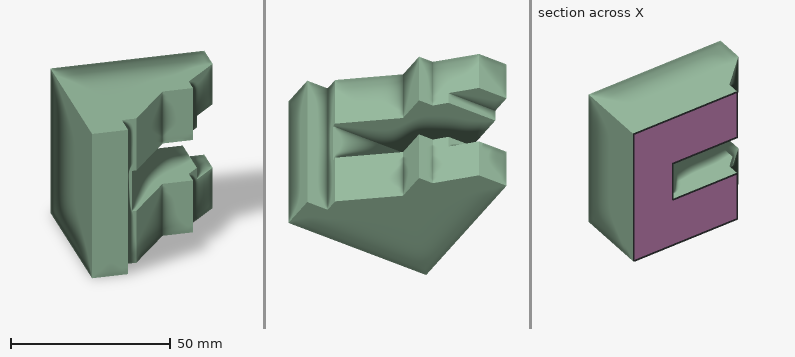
import cadquery as cq

width = 50.0
depth = 50.0
height = 50.0

back_edge_length = 10.0
upper_step_y = 39.4
upper_slope_end_x = back_edge_length + depth - upper_step_y
middle_wall_x = 25.6
middle_wall_end_y = 29.5
lower_wall_x = 42.6
lower_slope_end_y = 16.4
right_edge_length = 11.7

slot_height = 14.0
slot_floor_y = 15.0
slot_mouth_height = 22.0
slot_mouth_depth = 7.0


def make_body():
    """Block with the stepped plan outline, extruded through the full height."""
    outline = [
        (0, 0),
        (width, 0),
        (width, right_edge_length),
        (lower_wall_x, right_edge_length),
        (lower_wall_x, lower_slope_end_y),
        (middle_wall_x, middle_wall_end_y),
        (middle_wall_x, upper_step_y),
        (upper_slope_end_x, upper_step_y),
        (back_edge_length, depth),
        (0, depth),
    ]
    return cq.Workplane("XY").polyline(outline).close().extrude(height)


def make_slot(floor_y, opening_height):
    """Box cutter across the full width, from floor_y to the back."""
    bottom_z = (height - opening_height) / 2
    cutter = cq.Workplane("XY").box(width, depth - floor_y, opening_height, centered=False)
    return cutter.translate((0, floor_y, bottom_z))


slot = make_slot(slot_floor_y, slot_height)
slot_mouth = make_slot(depth - slot_mouth_depth, slot_mouth_height)

result = make_body().cut(slot).cut(slot_mouth)